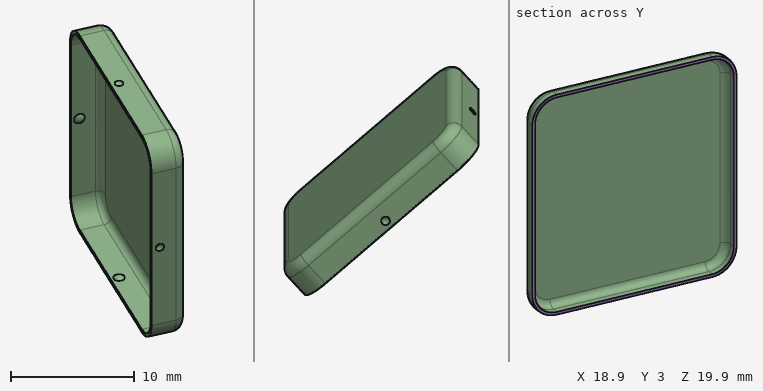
import cadquery as cq

width = 18.9
depth = 3.0
height = 19.9
wall = 0.3
corner_radius = 2.29
floor_edge_radius = 0.92

dimple_radius = 0.5
dimple_depth = 0.15
dimple_from_rim = 0.72

rim_y = -depth / 2
dimple_y = rim_y + dimple_from_rim


def rounded_block(inset):
    """Tray envelope moved inward by inset, with its rim left in place."""
    return (
        cq.Workplane("XZ", origin=(0, rim_y, 0))
        .rect(width - 2 * inset, height - 2 * inset)
        .extrude(-(depth - inset))
        .edges("|Y")
        .fillet(corner_radius - inset)
        .faces(">Y")
        .edges()
        .fillet(floor_edge_radius - inset)
    )


def dimple_ball(quarter, radius):
    """Ball centred outside one side wall, with its seam turned away from the tray."""
    half_span = width / 2 if quarter % 2 == 0 else height / 2
    center_distance = half_span + dimple_radius - dimple_depth
    return (
        cq.Workplane("XY")
        .sphere(radius)
        .translate((center_distance, dimple_y, 0))
        .rotate((0, 0, 0), (0, 1, 0), 90 * quarter)
    )


envelope = rounded_block(0)
result = envelope.cut(rounded_block(wall))

for quarter in range(4):
    bump = dimple_ball(quarter, dimple_radius + wall).intersect(envelope)
    result = result.union(bump)
    result = result.cut(dimple_ball(quarter, dimple_radius))